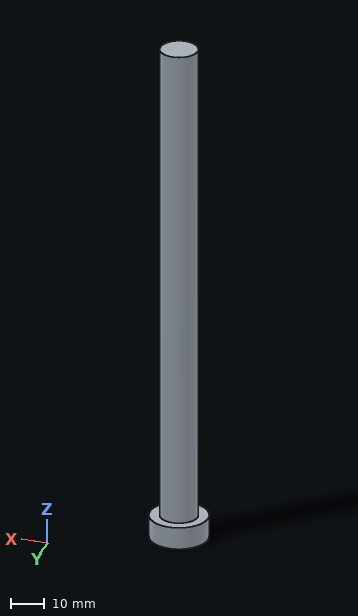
import cadquery as cq

total_length = 160.0
head_diameter = 18.0
head_height = 7.0
shank_diameter = 11.5

bottom_z = -total_length / 2
shank_length = total_length - head_height

head = cq.Workplane("XY", origin=(0, 0, bottom_z)).circle(head_diameter / 2).extrude(head_height)

result = head.faces(">Z").workplane().circle(shank_diameter / 2).extrude(shank_length)